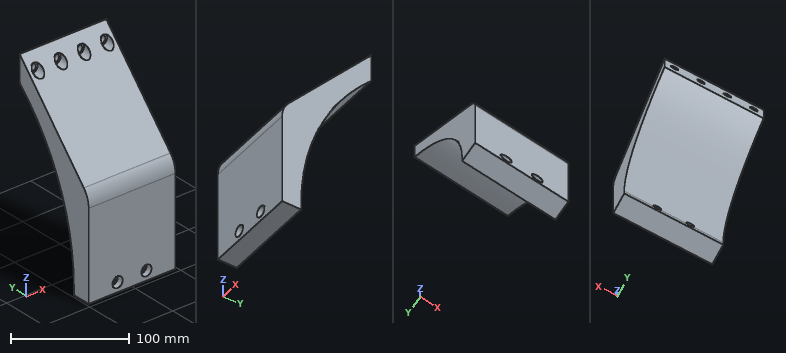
import cadquery as cq
import math

width = 95.3
depth = 92.0
height = 203.2

foot_thickness = 19.7
slope_drop = 100.0
bend_radius = 25.0
tip_height = 28.2
inner_radius = 230.0

hole_diameter = 7.1
counterbore_diameter = 11.2
upper_hole_count = 4
upper_hole_pitch = 25.5
upper_hole_z = 189.2
upper_seat_y = 86.2
lower_hole_count = 2
lower_hole_pitch = 31.7
lower_hole_z = 10.0
lower_seat_y = 6.5

bend_z = height - slope_drop
tip_z = height - tip_height

arc_center_y = foot_thickness + inner_radius
arc_rise = math.sqrt(inner_radius**2 - (arc_center_y - depth) ** 2)
arc_start_z = tip_z - arc_rise
half_angle = math.asin(arc_rise / inner_radius) / 2
arc_middle = (
    arc_center_y - inner_radius * math.cos(half_angle),
    arc_start_z + inner_radius * math.sin(half_angle),
)


def bent_body():
    """Bent plate with a rounded front bend and a concave back."""
    profile = (
        cq.Workplane("YZ", origin=(-width / 2, 0, 0))
        .lineTo(foot_thickness, 0)
        .lineTo(foot_thickness, arc_start_z)
        .threePointArc(arc_middle, (depth, tip_z))
        .lineTo(depth, height)
        .lineTo(0, bend_z)
        .close()
    )
    bend_edge = cq.selectors.NearestToPointSelector((0, 0, bend_z))
    return profile.extrude(width).edges(bend_edge).fillet(bend_radius)


def cylinder_row(count, pitch, z, diameter, end_y):
    """Row of cylinders centred on X = 0, from the front face back to end_y."""
    return (
        cq.Workplane("XZ", origin=(0, 0, z))
        .rarray(pitch, 2, count, 1)
        .circle(diameter / 2)
        .extrude(-end_y)
    )


def counterbored_row(count, pitch, z, seat_y):
    """Through holes with a wider bore reaching from the front to seat_y."""
    through_holes = cylinder_row(count, pitch, z, hole_diameter, depth)
    counterbores = cylinder_row(count, pitch, z, counterbore_diameter, seat_y)
    return through_holes.union(counterbores)


upper_holes = counterbored_row(upper_hole_count, upper_hole_pitch, upper_hole_z, upper_seat_y)
lower_holes = counterbored_row(lower_hole_count, lower_hole_pitch, lower_hole_z, lower_seat_y)

result = bent_body().cut(upper_holes).cut(lower_holes)